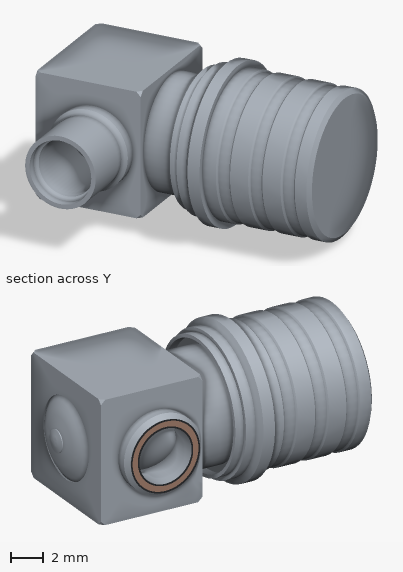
import cadquery as cq


block_start = 0.88
block_end = 8.06
block_width = 8.45
corner_cut = 0.3

cap_radius = 2.75
cap_edge_x = 1.0
nub_radius = 0.75
nub_height = 0.15
dome_bulge = 0.18
nub_bulge = 0.04
nub_step = 0.05

neck_radius = 3.8
coupling_start = 10.21
coupling_end = 19.91
lip_radius = 4.54
lip_length = 0.6
barrel_radius = 4.82
gap_radius = 4.3
gap_depth = 0.6
flange_radius = 5.25
flange_start = 11.49
flange_end = 12.6
flange_chamfer = 0.3
groove_radius = 4.7
groove_width = 0.98
groove_start = 13.5
groove_pitch = 2.21
groove_count = 3
end_chamfer_length = 0.22
end_chamfer_height = 0.32

sleeve_x = 4.82
sleeve_end = 8.7
sleeve_radius = 2.4
collar_radius = 2.7
collar_length = 0.98
collar_chamfer = 0.3
bore_radius = 1.9
mouth_radius = 2.11
mouth_depth = 0.6
bore_floor_radius = 3.32


def cylinder_x(radius, start, end):
    return cq.Workplane("YZ", origin=(start, 0, 0)).circle(radius).extrude(end - start)


def cylinder_to_front(radius, start, end):
    """Cylinder on the sleeve axis between two distances toward -Y."""
    return cq.Workplane("XZ", origin=(sleeve_x, -start, 0)).circle(radius).extrude(end - start)


def make_block():
    """Square block with each of its eight corners cut off by a triangle."""
    length = block_end - block_start
    middle_x = (block_start + block_end) / 2
    block = cq.Workplane("XY").box(length, block_width, block_width)
    for side_x in (-1, 1):
        for side_y in (-1, 1):
            for side_z in (-1, 1):
                cut_point = (
                    side_x * (length / 2 - corner_cut),
                    side_y * block_width / 2,
                    side_z * block_width / 2,
                )
                plane = cq.Plane(
                    origin=cut_point,
                    xDir=(side_x, -side_y, 0),
                    normal=(side_x, side_y, side_z),
                )
                cutter = cq.Workplane(plane).circle(3 * corner_cut).extrude(corner_cut)
                block = block.cut(cutter)
    return block.translate((middle_x, 0, 0))


def make_cap():
    """Shallow dome with a small round nub, sunk in a round recess."""
    dome_start_x = nub_height + nub_step
    nub_mid = (nub_height / 2 - nub_bulge, nub_radius / 2)
    dome_mid = ((dome_start_x + cap_edge_x) / 2 - dome_bulge, (nub_radius + cap_radius) / 2)
    return (
        cq.Workplane("XY")
        .moveTo(0, 0)
        .threePointArc(nub_mid, (nub_height, nub_radius))
        .lineTo(dome_start_x, nub_radius)
        .threePointArc(dome_mid, (cap_edge_x, cap_radius))
        .lineTo(cap_edge_x, 0)
        .close()
        .revolve(360, (0, 0, 0), (1, 0, 0))
    )


def make_coupling():
    """Turned coupling with a lip, a flange, grip grooves and a round gap for the neck."""
    groove_depth = barrel_radius - groove_radius
    outline = [
        (coupling_start, 0),
        (coupling_start, lip_radius),
        (coupling_start + lip_length, lip_radius),
        (coupling_start + lip_length, barrel_radius),
        (flange_start, barrel_radius),
        (flange_start + flange_chamfer, flange_radius),
        (flange_end, flange_radius),
        (flange_end, barrel_radius),
    ]
    for index in range(groove_count):
        start = groove_start + index * groove_pitch
        end = start + groove_width
        outline += [
            (start, barrel_radius),
            (start + groove_depth, groove_radius),
            (end - groove_depth, groove_radius),
            (end, barrel_radius),
        ]
    outline += [
        (coupling_end - end_chamfer_length, barrel_radius),
        (coupling_end, barrel_radius - end_chamfer_height),
        (coupling_end, 0),
    ]
    coupling = cq.Workplane("XY").polyline(outline).close().revolve(360, (0, 0, 0), (1, 0, 0))
    gap = cylinder_x(gap_radius, coupling_start, coupling_start + gap_depth)
    return coupling.cut(gap)


def make_sleeve():
    """Cable sleeve with a chamfered collar against the block."""
    front_face = block_width / 2
    collar = cylinder_to_front(collar_radius, 0, front_face + collar_length)
    collar = collar.faces("<Y").chamfer(collar_chamfer)
    return collar.union(cylinder_to_front(sleeve_radius, 0, sleeve_end))


def make_bore():
    """Sleeve bore with a wider mouth, ending on a round floor that follows the X axis."""
    mouth = cylinder_to_front(mouth_radius, sleeve_end - mouth_depth, sleeve_end)
    taper_length = mouth_radius - bore_radius
    taper_end = sleeve_end - mouth_depth
    taper = (
        cq.Workplane("XZ", origin=(sleeve_x, taper_length - taper_end, 0))
        .circle(bore_radius)
        .workplane(offset=taper_length)
        .circle(mouth_radius)
        .loft(ruled=True)
    )
    bore = cylinder_to_front(bore_radius, 0, sleeve_end)
    floor = cylinder_x(bore_floor_radius, block_start, block_end)
    return bore.union(taper).union(mouth).cut(floor)


recess = cylinder_x(cap_radius, block_start, cap_edge_x)
neck = cylinder_x(neck_radius, block_end, coupling_start + gap_depth)

result = (
    make_block()
    .union(make_sleeve())
    .cut(make_bore())
    .cut(recess)
    .union(make_cap())
    .union(neck)
    .union(make_coupling())
)